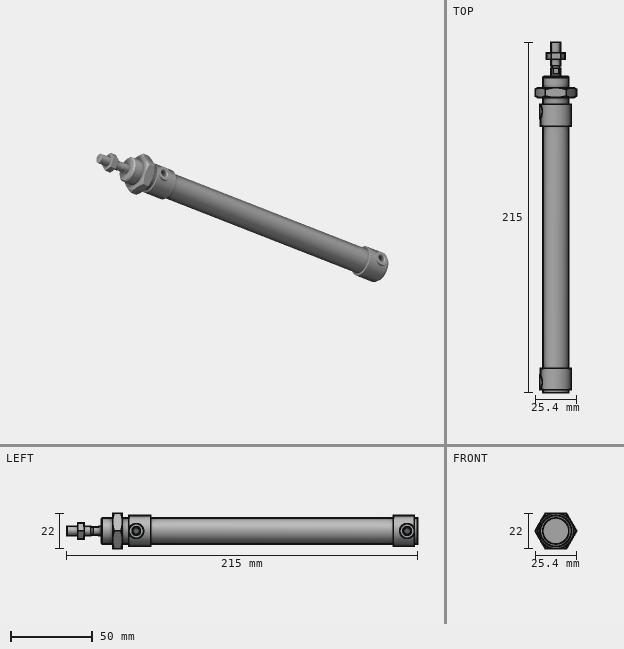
import cadquery as cq
import math

overall_length = 215.0
rod_nut_start = 6.6
rod_nut_thickness = 4.0
thread_end = 14.5
neck_end = 16.0
flats_end = 19.5
nose_start = 21.0
nose_nut_start = 28.0
nose_nut_thickness = 6.0
front_cap_start = 38.0
front_cap_end = 51.5
rear_cap_start = 200.0
rear_cap_end = 213.0

rod_diameter = 6.0
neck_diameter = 5.0
rod_across_flats = 5.0

rod_nut_across_flats = 10.0
nose_nut_across_flats = 22.0
nose_nut_chamfer_angle = 30.0

barrel_diameter = 16.0
cap_diameter = 19.0
nose_chamfer = 0.8
port_boss_diameter = 9.0
port_boss_reach = 10.0
port_diameter = 4.2
port_mouth_diameter = 5.2
port_depth = 5.0
port_countersink = (port_mouth_diameter - port_diameter) / 2
front_port = front_cap_start + port_boss_diameter / 2
rear_port = rear_cap_end - port_boss_diameter / 2


def station_y(station):
    """Y of a station; the cylinder mounts at Y = 0, on the front cap's shoulder."""
    return front_cap_start - station


def round_bar(start, end, diameter):
    """Round bar along Y between two stations."""
    return (
        cq.Workplane("XZ", origin=(0, station_y(start), 0))
        .circle(diameter / 2)
        .extrude(end - start)
    )


def hex_bar(start, end, across_flats):
    """Hexagonal bar along Y with flats on top and bottom and corners on the X axis."""
    return (
        cq.Workplane("XZ", origin=(0, station_y(start), 0))
        .polygon(6, across_flats / math.cos(math.pi / 6))
        .extrude(end - start)
    )


def make_rod():
    """Threaded tip, undercut neck, and shank with two wrench flats."""
    rod = round_bar(0, thread_end, rod_diameter)
    rod = rod.union(round_bar(thread_end, neck_end, neck_diameter))
    rod = rod.union(round_bar(neck_end, nose_start, rod_diameter))
    flats_length = flats_end - neck_end
    flats_middle = station_y((neck_end + flats_end) / 2)
    removed_ring = round_bar(neck_end, flats_end, rod_diameter).cut(
        cq.Workplane("XY", origin=(0, flats_middle, 0)).box(rod_diameter, flats_length, rod_across_flats)
    )
    return rod.cut(removed_ring)


def make_rod_nut():
    """Plain hexagon lock nut on the rod thread."""
    end = rod_nut_start + rod_nut_thickness
    nut = hex_bar(rod_nut_start, end, rod_nut_across_flats)
    return nut.cut(round_bar(rod_nut_start, end, rod_diameter))


def make_nose_nut():
    """Hexagon mounting nut with its corners chamfered conically on both faces."""
    end = nose_nut_start + nose_nut_thickness
    corner_radius = nose_nut_across_flats / 2 / math.cos(math.pi / 6)
    face_radius = nose_nut_across_flats / 2
    chamfer_length = (corner_radius - face_radius) * math.tan(math.radians(nose_nut_chamfer_angle))
    front_y = station_y(nose_nut_start)
    rear_y = station_y(end)
    chamfer_envelope = (
        cq.Workplane("XY")
        .polyline([
            (0, front_y),
            (face_radius, front_y),
            (corner_radius, front_y - chamfer_length),
            (corner_radius, rear_y + chamfer_length),
            (face_radius, rear_y),
            (0, rear_y),
        ])
        .close()
        .revolve(360, (0, 0, 0), (0, 1, 0))
    )
    nut = hex_bar(nose_nut_start, end, nose_nut_across_flats).intersect(chamfer_envelope)
    return nut.cut(round_bar(nose_nut_start, end, barrel_diameter))


def port_boss(station):
    """Round boss on the -X side, running in to the housing axis."""
    return (
        cq.Workplane("YZ", origin=(-port_boss_reach, station_y(station), 0))
        .circle(port_boss_diameter / 2)
        .extrude(port_boss_reach)
    )


def port_hole(station):
    """Blind, countersunk port drilled in from the boss face."""
    boss_face = cq.Workplane("YZ", origin=(-port_boss_reach, station_y(station), 0))
    hole = boss_face.circle(port_diameter / 2).extrude(port_depth)
    countersink = (
        boss_face.circle(port_mouth_diameter / 2)
        .workplane(offset=port_countersink)
        .circle(port_diameter / 2)
        .loft()
    )
    return hole.union(countersink)


def make_housing():
    """Threaded nose, front cap, barrel, rear cap and end spigot, with two side ports."""
    housing = round_bar(nose_start, overall_length, barrel_diameter).faces(">Y").chamfer(nose_chamfer)
    housing = housing.union(round_bar(front_cap_start, front_cap_end, cap_diameter))
    housing = housing.union(round_bar(rear_cap_start, rear_cap_end, cap_diameter))
    for station in (front_port, rear_port):
        housing = housing.union(port_boss(station)).cut(port_hole(station))
    return housing


rod = make_rod()
rod_nut = make_rod_nut()
nose_nut = make_nose_nut()
housing = make_housing()
result = cq.Compound.makeCompound([rod.val(), rod_nut.val(), nose_nut.val(), housing.val()])